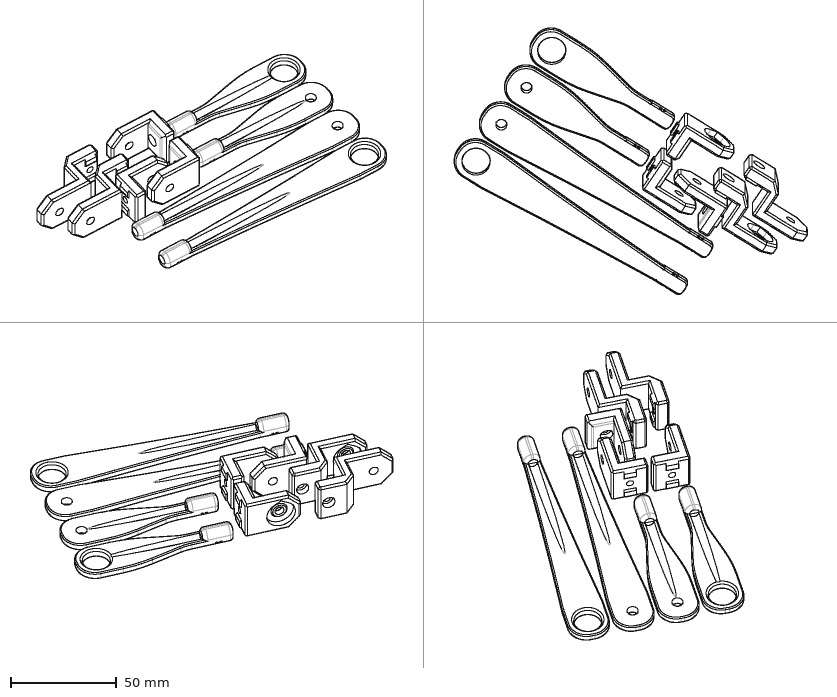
import cadquery as cq
import math

HEAD_REACH = 10.0
HEAD_CORNER_RADIUS = 9.0
BLADE_THICKNESS = 4.0
BLADE_TOP_CHAMFER = 0.6
BLADE_BOTTOM_CHAMFER = 0.8
STRAIGHT_BELOW_HEAD = 9.7
NECK_HALF_WIDTH = 4.0

SOCKET_RADIUS = 4.0
SOCKET_FLAT_WIDTH = 1.0
SOCKET_HEIGHT = 8.0
SOCKET_LENGTH = 15.2
SOCKET_END_FILLET = 2.0
SOCKET_AXIS_Z = SOCKET_HEIGHT - math.sqrt(SOCKET_RADIUS**2 - (SOCKET_FLAT_WIDTH / 2) ** 2)
BORE_DIAMETER = 4.65
PIN_HOLE = 1.2
PIN_SPACING = 2.0
PIN_HEIGHT = 1.0

GROOVE_DIAMETER = 4.4
GROOVE_OVERRUN = 1.2
SHORT_GROOVE_LENGTH = 49.2
LONG_GROOVE_LENGTH = 59.1

SHORT_REACH = 67.5
LONG_REACH = SHORT_REACH + 50.0
SHORT_TAPER_START = 17.9
SHORT_TAPER_END = 43.4
SHORT_SHOULDER_RADIUS = 66.0
SHORT_NECK_RADIUS = 25.0
CORNER_BAND = 0.1
LONG_FLANK_SAG = 0.4

SMALL_HEAD_HOLE = 5.2
LARGE_HEAD_HOLE = 13.3
LARGE_HOLE_MOUTH = 15.3

HEAD_CENTRE_Y = 152.39
HANDLE_PITCH = 21.92

HEIGHT = 20.0
MID_Z = HEIGHT / 2
EDGE_CHAMFER = 1.0
ARM_THICKNESS = 5.4
ARM_CORNER_CUT = 6.0
PIVOT_SETBACK = 10.0
PIVOT_HOLE = 4.4

POCKET_RADIUS = 7.1
POCKET_DEPTH = 3.0
POCKET_ROOF_ANGLE = 30.0
POCKET_BOSS_BASE = 8.0
POCKET_BOSS_TOP = 6.8
POCKET_BOSS_HEIGHT = 0.6

ANGLE_PAD_THICKNESS = 7.0
CRANK_PAD_THICKNESS = 6.55
PAD_INNER_CHAMFER = 2.0
PAD_INNER_FILLET = 1.5
BOLT_HOLE = 3.4
COUNTERBORE = 6.0
COUNTERBORE_DEPTH = 3.0

KEY_WIDTH = 6.0
KEY_PROUD = 0.9
KEY_EMBED = 1.0
KEY_HEIGHT = 5.0
KEY_CENTRE_OFFSET = MID_Z - EDGE_CHAMFER - KEY_HEIGHT / 2

ANGLE_WIDTH = 17.9
ANGLE_LENGTH = 27.8

CRANK_WIDTH = 20.25
CRANK_LENGTH = 42.4
CRANK_TOP_LENGTH = 19.0
CRANK_WEB = 4.8
CRANK_CORNER_CUT = 5.0
CRANK_BOLT_SETBACK = 5.0


def short_blade(end_y):
    """Flat blade whose straight flanks run into the neck through large rounded corners."""
    blade = (
        cq.Workplane("XY")
        .polyline([
            (HEAD_REACH, HEAD_REACH), (HEAD_REACH, -SHORT_TAPER_START), (NECK_HALF_WIDTH, -SHORT_TAPER_END),
            (NECK_HALF_WIDTH, end_y), (-NECK_HALF_WIDTH, end_y), (-NECK_HALF_WIDTH, -SHORT_TAPER_END),
            (-HEAD_REACH, -SHORT_TAPER_START), (-HEAD_REACH, HEAD_REACH)])
        .close()
        .extrude(BLADE_THICKNESS)
    )
    for corner_y, radius in (
        (-SHORT_TAPER_START, SHORT_SHOULDER_RADIUS),
        (-SHORT_TAPER_END, SHORT_NECK_RADIUS),
    ):
        corner_band = cq.selectors.BoxSelector(
            (-2 * HEAD_REACH, corner_y - CORNER_BAND, 0),
            (2 * HEAD_REACH, corner_y + CORNER_BAND, BLADE_THICKNESS))
        blade = blade.edges("|Z").edges(corner_band).fillet(radius)
    return blade


def long_blade(end_y):
    """Flat blade whose flanks are slightly hollow arcs from the head to the neck."""
    neck_y = end_y + SOCKET_END_FILLET
    middle_x = (HEAD_REACH + NECK_HALF_WIDTH) / 2 - LONG_FLANK_SAG
    middle_y = (neck_y - STRAIGHT_BELOW_HEAD) / 2
    return (
        cq.Workplane("XY")
        .moveTo(HEAD_REACH, HEAD_REACH)
        .lineTo(HEAD_REACH, -STRAIGHT_BELOW_HEAD)
        .threePointArc((middle_x, middle_y), (NECK_HALF_WIDTH, neck_y))
        .lineTo(NECK_HALF_WIDTH, end_y)
        .lineTo(-NECK_HALF_WIDTH, end_y)
        .lineTo(-NECK_HALF_WIDTH, neck_y)
        .threePointArc((-middle_x, middle_y), (-HEAD_REACH, -STRAIGHT_BELOW_HEAD))
        .lineTo(-HEAD_REACH, HEAD_REACH)
        .close()
        .extrude(BLADE_THICKNESS)
    )


def socket(tip_y):
    """Round-topped sleeve with rounded ends, running from tip_y towards the head."""
    half_flat = SOCKET_FLAT_WIDTH / 2
    arc_x = SOCKET_RADIUS * math.sin(math.pi / 4)
    arc_z = SOCKET_AXIS_Z + SOCKET_RADIUS * math.cos(math.pi / 4)
    body = (
        cq.Workplane("XZ", origin=(0, tip_y + SOCKET_LENGTH, 0))
        .moveTo(-SOCKET_RADIUS, 0)
        .lineTo(SOCKET_RADIUS, 0)
        .lineTo(SOCKET_RADIUS, SOCKET_AXIS_Z)
        .threePointArc((arc_x, arc_z), (half_flat, SOCKET_HEIGHT))
        .lineTo(-half_flat, SOCKET_HEIGHT)
        .threePointArc((-arc_x, arc_z), (-SOCKET_RADIUS, SOCKET_AXIS_Z))
        .close()
        .extrude(SOCKET_LENGTH)
    )
    body = body.edges("|Y and <Z").chamfer(BLADE_BOTTOM_CHAMFER)
    return body.faces("|Y").edges("not <Z").fillet(SOCKET_END_FILLET)


def handle(centre_x, reach, make_blade, groove_length, hole, mouth):
    """Handle with its head hole at centre_x; a mouth wider than the hole adds a countersink."""
    tip_y = -reach
    neck_y = tip_y + SOCKET_LENGTH
    blade = make_blade(neck_y - SOCKET_END_FILLET)
    blade = blade.edges("|Z and >Y").fillet(HEAD_CORNER_RADIUS)
    blade = blade.faces(">Z").edges().chamfer(BLADE_TOP_CHAMFER)
    blade = blade.faces("<Z").edges().chamfer(BLADE_BOTTOM_CHAMFER)
    body = blade.union(socket(tip_y))

    bore = cq.Workplane("XZ", origin=(0, neck_y, SOCKET_AXIS_Z)).circle(BORE_DIAMETER / 2)
    body = body.cut(bore.extrude(SOCKET_LENGTH))

    for side in (-1, 1):
        pin_y = tip_y + (SOCKET_LENGTH + side * PIN_SPACING) / 2
        pin = cq.Workplane("YZ", origin=(-SOCKET_RADIUS, pin_y, PIN_HEIGHT))
        body = body.cut(pin.circle(PIN_HOLE / 2).extrude(2 * SOCKET_RADIUS))

    rise = GROOVE_DIAMETER / 2
    run = math.hypot(groove_length, rise)
    groove = cq.Solid.makeCylinder(
        GROOVE_DIAMETER / 2, GROOVE_OVERRUN * run,
        cq.Vector(0, neck_y, BLADE_THICKNESS), cq.Vector(0, groove_length, rise))
    body = body.cut(cq.Workplane(groove))

    head_hole = cq.Workplane("XY").circle(hole / 2).extrude(BLADE_THICKNESS)
    if mouth > hole:
        depth = (mouth - hole) / 2
        cone = cq.Solid.makeCone(hole / 2, mouth / 2, depth, cq.Vector(0, 0, BLADE_THICKNESS - depth))
        head_hole = head_hole.union(cq.Workplane(cone))
    return body.cut(head_hole).translate((centre_x, HEAD_CENTRE_Y, 0))


def arm(length, pocket):
    """Thin upright plate from y = 0 down to y = -length, with a pivot hole near its cut-off end."""
    plate = cq.Workplane("XY").box(ARM_THICKNESS, length, HEIGHT, centered=False).translate((0, -length, 0))
    plate = plate.faces("<Y").edges("|X").chamfer(ARM_CORNER_CUT)
    plate = plate.faces("|X or >Y").edges().chamfer(EDGE_CHAMFER)
    pivot_y = PIVOT_SETBACK - length
    if pocket:
        plate = plate.cut(pivot_pocket(pivot_y))
    hole = cq.Workplane("YZ").center(pivot_y, MID_Z).circle(PIVOT_HOLE / 2).extrude(ARM_THICKNESS)
    return plate.cut(hole)


def pivot_pocket(pivot_y):
    """Round recess with a peaked roof in the x = 0 face, leaving a low conical boss on its floor."""
    angle = math.radians(POCKET_ROOF_ANGLE)
    shoulder_y = POCKET_RADIUS * math.sin(angle)
    shoulder_z = POCKET_RADIUS * math.cos(angle)
    recess = (
        cq.Workplane("YZ", origin=(0, pivot_y, MID_Z))
        .moveTo(shoulder_y, shoulder_z)
        .lineTo(0, POCKET_RADIUS / math.cos(angle))
        .lineTo(-shoulder_y, shoulder_z)
        .threePointArc((0, -POCKET_RADIUS), (shoulder_y, shoulder_z))
        .close()
        .extrude(POCKET_DEPTH)
    )
    boss = cq.Solid.makeCone(
        POCKET_BOSS_BASE / 2, POCKET_BOSS_TOP / 2, POCKET_BOSS_HEIGHT,
        cq.Vector(POCKET_DEPTH, pivot_y, MID_Z), cq.Vector(-1, 0, 0))
    return recess.cut(cq.Workplane(boss))


def keys():
    """Two locating keys, one above the other, standing on the y = 0 plane and facing +y."""
    half = KEY_HEIGHT / 2
    key = (
        cq.Workplane("YZ", origin=(-KEY_WIDTH / 2, 0, 0))
        .polyline([
            (-KEY_EMBED, -half), (0, -half), (KEY_PROUD, KEY_PROUD - half),
            (KEY_PROUD, half - KEY_PROUD), (0, half), (-KEY_EMBED, half)])
        .close()
        .extrude(KEY_WIDTH)
    )
    lower = key.translate((0, 0, MID_Z - KEY_CENTRE_OFFSET))
    return lower.union(key.translate((0, 0, MID_Z + KEY_CENTRE_OFFSET)))


def bolt_hole(depth):
    """Bolt hole running along y from y = 0 down to y = -depth, counterbored at the far end."""
    hole = cq.Workplane("XZ", origin=(0, 0, MID_Z)).circle(BOLT_HOLE / 2).extrude(depth)
    wide = cq.Workplane("XZ", origin=(0, COUNTERBORE_DEPTH - depth, MID_Z))
    return hole.union(wide.circle(COUNTERBORE / 2).extrude(COUNTERBORE_DEPTH))


def angle_bracket(pocket):
    """L-shaped bracket with its outer corner at the origin, pad along +x and arm along -y."""
    pad = cq.Workplane("XY").box(ANGLE_WIDTH, ANGLE_PAD_THICKNESS, HEIGHT, centered=False)
    pad = pad.translate((0, -ANGLE_PAD_THICKNESS, 0))
    pad = pad.faces("<Y").edges().chamfer(PAD_INNER_CHAMFER)
    pad = pad.faces(">Y").edges().chamfer(EDGE_CHAMFER)
    pad = pad.edges("|Y").chamfer(EDGE_CHAMFER)
    pad = pad.faces("<Y").edges().fillet(PAD_INNER_FILLET)
    middle = (ANGLE_WIDTH / 2, 0, 0)
    body = pad.union(arm(ANGLE_LENGTH, pocket)).union(keys().translate(middle))
    return body.cut(bolt_hole(ANGLE_PAD_THICKNESS).translate(middle))


def crank_bracket(pocket):
    """Z-shaped bracket: bolt pad at upper left, web across, arm down the right side."""
    web_low = -CRANK_TOP_LENGTH
    web_high = web_low + CRANK_WEB
    upper = (
        cq.Workplane("XY")
        .polyline([
            (0, 0), (CRANK_PAD_THICKNESS, 0), (CRANK_PAD_THICKNESS, web_high), (CRANK_WIDTH, web_high),
            (CRANK_WIDTH, web_low), (CRANK_CORNER_CUT, web_low), (0, web_low + CRANK_CORNER_CUT)])
        .close()
        .extrude(HEIGHT)
    )
    upper = upper.faces(">Y").edges("|Z").chamfer(EDGE_CHAMFER)
    upper = upper.faces("|Z").edges().chamfer(EDGE_CHAMFER)

    arm_place = (CRANK_WIDTH - ARM_THICKNESS, web_high, 0)
    body = upper.union(arm(CRANK_LENGTH + web_high, pocket).translate(arm_place))

    def on_pad(shape):
        turned = shape.rotate((0, 0, 0), (0, 0, 1), -90)
        return turned.translate((CRANK_PAD_THICKNESS, -CRANK_BOLT_SETBACK, 0))

    return body.union(on_pad(keys())).cut(on_pad(bolt_hole(CRANK_PAD_THICKNESS)))


LEFT_ANGLE_CORNER = (6.4, 79.2)
RIGHT_ANGLE_CORNER = (44.9, 79.2)
INVERTED_ANGLE_CORNER = (29.95, 39.8)
OUTER_CRANK_X = 7.0
INNER_CRANK_X = 20.2
INNER_CRANK_END_Y = 8.6

short_kind = (SHORT_REACH, short_blade, SHORT_GROOVE_LENGTH)
long_kind = (LONG_REACH, long_blade, LONG_GROOVE_LENGTH)
large_hole = (LARGE_HEAD_HOLE, LARGE_HOLE_MOUTH)
small_hole = (SMALL_HEAD_HOLE, SMALL_HEAD_HOLE)
handle_kinds = [
    (*short_kind, *large_hole), (*short_kind, *small_hole),
    (*long_kind, *small_hole), (*long_kind, *large_hole)]
handles = [handle(HEAD_REACH + index * HANDLE_PITCH, *kind) for index, kind in enumerate(handle_kinds)]

left_angle = angle_bracket(True).translate((*LEFT_ANGLE_CORNER, 0))
mirrored_angle = angle_bracket(False).mirror("YZ")
right_angle = mirrored_angle.translate((*RIGHT_ANGLE_CORNER, 0))
inverted_angle = mirrored_angle.rotate((0, 0, 0), (0, 0, 1), 180).translate((*INVERTED_ANGLE_CORNER, 0))
inner_crank = crank_bracket(True).translate((INNER_CRANK_X, CRANK_LENGTH + INNER_CRANK_END_Y, 0))
outer_crank = crank_bracket(False).translate((OUTER_CRANK_X, CRANK_LENGTH, 0))

bodies = [*handles, left_angle, right_angle, inverted_angle, inner_crank, outer_crank]
result = cq.Compound.makeCompound([body.val() for body in bodies])